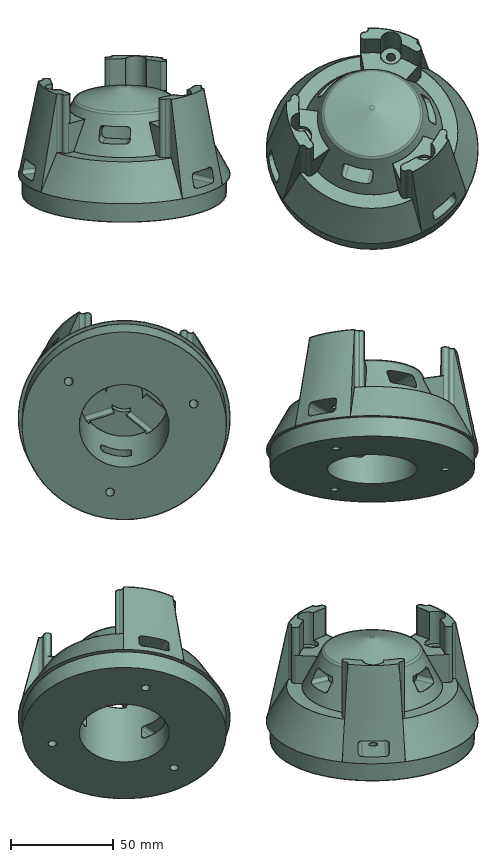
import cadquery as cq
import math

RIM_Z = 10.0
LEDGE_Z = 28.4
SHELF_Z = 43.4
TOP_Z = 58.2

BASE_RADIUS = 50.0
RIM_RADIUS = 51.9
LEDGE_RADIUS = 41.9
DOME_FOOT_RADIUS = 34.5
DOME_SHOULDER_RADIUS = 24.4
SHOULDER_FILLET = 2.0
SELECTION_MARGIN = 0.1
APEX_Z = 54.9
TIP_RADIUS = 1.1
ROOF_ANGLE = math.radians(15.7)

CAVITY_RADIUS = 22.0
CAVITY_HEIGHT = 38.4
INNER_BORE_RADIUS = 9.0

POST_COUNT = 3
FIRST_POST_ANGLE = -90
POST_TOP_RADIUS = 42.0
OUTER_HALF_ANGLE = 17.4
INNER_HALF_ANGLE = 23.5
STEP_RADIUS = 40.0
STEP_FILLET = 2.0
POST_INNER_RADIUS = 36.0

SCREW_RADIUS = POST_INNER_RADIUS
SCREW_HOLE_DIAMETER = 4.3
SEAT_DIAMETER = 10.2
SEAT_DEPTH = 2.5

SLOT_WIDTH = 15.4
SLOT_HEIGHT = 7.8
SLOT_CORNER = 2.0
SLOT_INNER_RADIUS = 7.9
LOWER_SLOT_Z = 13.4
UPPER_SLOT_Z = 34.4


def polar(radius, angle):
    """Point at a radius and an angle in degrees."""
    turn = math.radians(angle)
    return (radius * math.cos(turn), radius * math.sin(turn))


def around_axis(shape, first_angle):
    """Copies of a shape built along +X, spread evenly about the Z axis."""
    copies = cq.Workplane()
    for i in range(POST_COUNT):
        angle = first_angle + i * 360 / POST_COUNT
        copies = copies.add(shape.rotate((0, 0, 0), (0, 0, 1), angle))
    return copies.combine()


def turned_body():
    """Base, conical skirt and dome with a shallow roof and a rounded tip."""
    tip_sphere = TIP_RADIUS / math.sin(ROOF_ANGLE)
    tip_center_z = APEX_Z - tip_sphere
    tip_edge_z = tip_center_z + tip_sphere * math.cos(ROOF_ANGLE)
    half_angle = ROOF_ANGLE / 2
    tip_middle = (tip_sphere * math.sin(half_angle), tip_center_z + tip_sphere * math.cos(half_angle))
    shoulder_z = tip_edge_z - (DOME_SHOULDER_RADIUS - TIP_RADIUS) * math.tan(ROOF_ANGLE)
    body = (
        cq.Workplane("XZ")
        .lineTo(BASE_RADIUS, 0)
        .lineTo(BASE_RADIUS, RIM_Z)
        .lineTo(RIM_RADIUS, RIM_Z)
        .lineTo(LEDGE_RADIUS, LEDGE_Z)
        .lineTo(DOME_FOOT_RADIUS, LEDGE_Z)
        .lineTo(DOME_SHOULDER_RADIUS, shoulder_z)
        .lineTo(TIP_RADIUS, tip_edge_z)
        .threePointArc(tip_middle, (0, APEX_Z))
        .close()
        .revolve(360, (0, 0, 0), (0, 1, 0))
    )
    near_shoulder = cq.selectors.BoxSelector(
        (-RIM_RADIUS, -RIM_RADIUS, shoulder_z - SELECTION_MARGIN),
        (RIM_RADIUS, RIM_RADIUS, shoulder_z + SELECTION_MARGIN),
    )
    return body.edges(near_shoulder).fillet(SHOULDER_FILLET)


def sector(radius, half_angle, bottom, top):
    """Pie-shaped prism centred on +X."""
    return (
        cq.Workplane("XY", origin=(0, 0, bottom))
        .lineTo(*polar(radius, -half_angle))
        .threePointArc((radius, 0), polar(radius, half_angle))
        .close()
        .extrude(top - bottom)
    )


def post():
    """Post along +X: narrow outside, round-ended arms further in, and a shelf towards the dome."""
    lobe_radius = (STEP_RADIUS - POST_INNER_RADIUS) / 2
    lobe_center = (STEP_RADIUS + POST_INNER_RADIUS) / 2
    shelf_radius = math.sqrt(lobe_center**2 - lobe_radius**2)
    lobe_half_angle = INNER_HALF_ANGLE - math.degrees(math.asin(lobe_radius / lobe_center))

    wall = sector(RIM_RADIUS, OUTER_HALF_ANGLE, RIM_Z, TOP_Z)
    arms = sector(STEP_RADIUS, lobe_half_angle, RIM_Z, TOP_Z)
    upright = wall.union(arms)
    for side in (-1, 1):
        corner = polar(STEP_RADIUS, side * OUTER_HALF_ANGLE)
        corner_edge = cq.selectors.NearestToPointSelector((*corner, (RIM_Z + TOP_Z) / 2))
        upright = upright.edges("|Z").edges(corner_edge).fillet(STEP_FILLET)
    inside = cq.Workplane("XY").circle(POST_INNER_RADIUS).extrude(TOP_Z)
    lobes = (
        cq.Workplane("XY", origin=(0, 0, RIM_Z))
        .pushPoints([polar(lobe_center, side * lobe_half_angle) for side in (-1, 1)])
        .circle(lobe_radius)
        .extrude(TOP_Z - RIM_Z)
    )
    shelf = sector(shelf_radius, INNER_HALF_ANGLE, RIM_Z, SHELF_Z)

    envelope = (
        cq.Workplane("XZ")
        .moveTo(0, RIM_Z)
        .lineTo(RIM_RADIUS, RIM_Z)
        .lineTo(POST_TOP_RADIUS, TOP_Z)
        .lineTo(0, TOP_Z)
        .close()
        .revolve(360, (0, 0, 0), (0, 1, 0))
    )
    return upright.cut(inside).union(lobes).union(shelf).intersect(envelope)


def screw_seat():
    """Screw hole and the wider recess above it."""
    hole = cq.Workplane("XY").center(SCREW_RADIUS, 0).circle(SCREW_HOLE_DIAMETER / 2).extrude(TOP_Z)
    seat = (
        cq.Workplane("XY", origin=(SCREW_RADIUS, 0, SHELF_Z - SEAT_DEPTH))
        .circle(SEAT_DIAMETER / 2)
        .extrude(TOP_Z)
    )
    return hole.union(seat)


def slot(bottom):
    """Radial slot along +X with rounded corners."""
    return (
        cq.Workplane("YZ", origin=(SLOT_INNER_RADIUS, 0, bottom + SLOT_HEIGHT / 2))
        .rect(SLOT_WIDTH, SLOT_HEIGHT)
        .extrude(RIM_RADIUS)
        .edges("|X")
        .fillet(SLOT_CORNER)
    )


upper_slot_top = UPPER_SLOT_Z + SLOT_HEIGHT
cavity = cq.Workplane("XY").circle(CAVITY_RADIUS).extrude(CAVITY_HEIGHT)
inner_bore = cq.Workplane("XY").circle(INNER_BORE_RADIUS).extrude(upper_slot_top)
lower_slots = around_axis(slot(LOWER_SLOT_Z), FIRST_POST_ANGLE)
upper_slots = around_axis(slot(UPPER_SLOT_Z), FIRST_POST_ANGLE + 180)
result = (
    turned_body()
    .union(around_axis(post(), FIRST_POST_ANGLE))
    .cut(cavity)
    .cut(inner_bore)
    .cut(around_axis(screw_seat(), FIRST_POST_ANGLE))
    .cut(lower_slots)
    .cut(upper_slots)
)